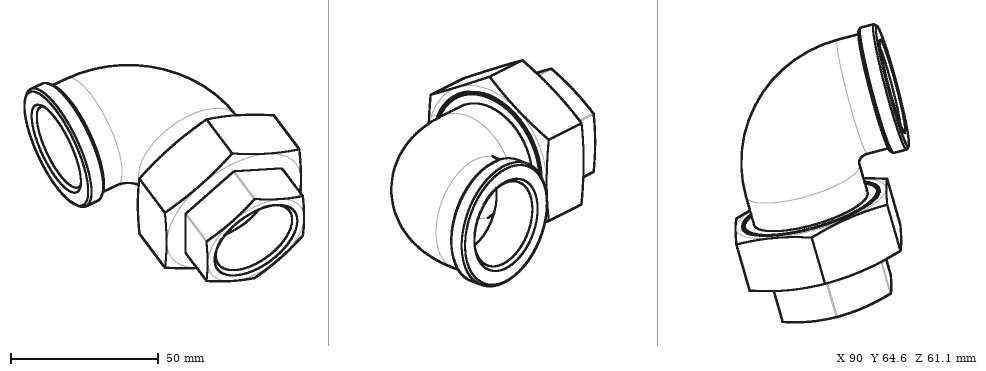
import cadquery as cq
import math

pipe_radius = 20.0
cavity_radius = 17.7
bend_radius = 24.0
inlet_length = 38.1
outlet_length = 68.0
bore_radius = 15.0
bore_depth = 17.3
mouth_radius = 16.3
mouth_chamfer = mouth_radius - bore_radius

collar_radius = 22.0
collar_width = 6.2
collar_chamfer = 0.8

nut_across_flats = 52.9
nut_start = 34.3
nut_width = 19.2
nut_end = nut_start + nut_width
nut_face_radius = 26.4

gap_outer_radius = 24.1
flange_radius = 23.8
gap_depth = 0.9
flange_chamfer = 0.5

end_across_flats = 38.0
end_face_radius = 18.9
end_edge_fillet = 0.45

hex_chamfer_angle = math.radians(15)
blank_margin = 0.9


def cylinder_x(radius, start, end):
    """Cylinder about the outlet axis."""
    return cq.Workplane("YZ", origin=(start, 0, 0)).circle(radius).extrude(end - start)


def corner_diameter(across_flats):
    """Distance across the corners of a hexagon."""
    return across_flats / math.cos(math.pi / 6)


def hexagon(across_flats, start, end):
    """Hexagonal bar about the outlet axis with flats facing +Y and -Y."""
    plane = cq.Workplane("YZ", origin=(start, 0, 0)).transformed(rotate=(0, 0, 90))
    return plane.polygon(6, corner_diameter(across_flats)).extrude(end - start)


def chamfer_envelope(face_radius, across_flats, start, end, chamfer_start):
    """Turned blank whose conical ends cut the corners of a hexagon."""
    outer_radius = corner_diameter(across_flats) / 2 + blank_margin
    cone_depth = (outer_radius - face_radius) * math.tan(hex_chamfer_angle)
    profile = cq.Workplane("XY").moveTo(start, 0)
    if chamfer_start:
        profile = profile.lineTo(start, face_radius).lineTo(start + cone_depth, outer_radius)
    else:
        profile = profile.lineTo(start, outer_radius)
    profile = profile.lineTo(end - cone_depth, outer_radius).lineTo(end, face_radius).lineTo(end, 0)
    return profile.close().revolve(360, (0, 0, 0), (1, 0, 0))


def bent_rod(radius, end):
    """Round rod from the inlet face through the bend to x = end."""
    bend_offset = bend_radius * math.sqrt(0.5)
    path = (
        cq.Workplane("XY")
        .moveTo(0, -inlet_length)
        .lineTo(0, -bend_radius)
        .threePointArc((bend_radius - bend_offset, bend_offset - bend_radius), (bend_radius, 0))
        .lineTo(end, 0)
    )
    return cq.Workplane("XZ", origin=(0, -inlet_length, 0)).circle(radius).sweep(path)


def inlet_collar():
    collar = cq.Workplane("XZ", origin=(0, -inlet_length, 0)).circle(collar_radius).extrude(-collar_width)
    return collar.faces("<Y or >Y").chamfer(collar_chamfer)


def flange_gap():
    """Ring cut into the nut face, leaving a flange with a chamfered rim."""
    gap_end = nut_start + gap_depth
    flange = cylinder_x(flange_radius, nut_start, gap_end).faces("<X").chamfer(flange_chamfer)
    return cylinder_x(gap_outer_radius, nut_start, gap_end).cut(flange)


def union_nut():
    nut = hexagon(nut_across_flats, nut_start, nut_end)
    nut = nut.intersect(chamfer_envelope(nut_face_radius, nut_across_flats, nut_start, nut_end, True))
    return nut.cut(flange_gap())


def outlet_end():
    end = hexagon(end_across_flats, nut_end, outlet_length).edges("|X").fillet(end_edge_fillet)
    return end.intersect(
        chamfer_envelope(end_face_radius, end_across_flats, nut_end, outlet_length, False)
    )


def threaded_bore():
    """Straight bore along +Z from an opening on the XY plane, widened by a cone at the mouth."""
    mouth = cq.Workplane(cq.Solid.makeCone(mouth_radius, bore_radius, mouth_chamfer))
    return cq.Workplane("XY").circle(bore_radius).extrude(bore_depth).union(mouth)


def passage():
    """Wide curved cavity, stepping down to a threaded bore at each end."""
    bore_end = bore_depth - inlet_length
    reach = 2 * outlet_length
    inlet_side = cq.Workplane("XY").box(reach, reach, reach).translate((0, bore_end - reach / 2, 0))
    cavity = bent_rod(cavity_radius, outlet_length - bore_depth).cut(inlet_side)
    inlet_bore = threaded_bore().rotate((0, 0, 0), (1, 0, 0), -90).translate((0, -inlet_length, 0))
    outlet_bore = threaded_bore().rotate((0, 0, 0), (0, 1, 0), -90).translate((outlet_length, 0, 0))
    return cavity.union(inlet_bore).union(outlet_bore)


body = bent_rod(pipe_radius, nut_end).union(inlet_collar()).union(union_nut()).union(outlet_end())
result = body.cut(passage())